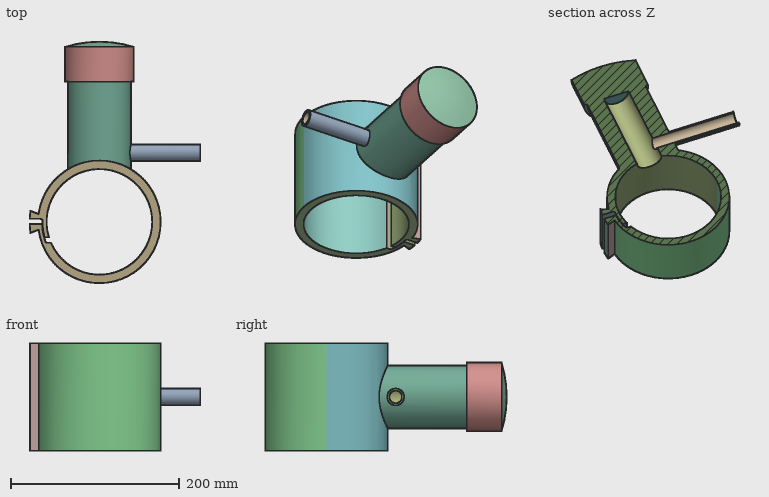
import cadquery as cq
import math

ring_radius = 73.0
ring_bore_radius = 62.5
ring_height = 128.0

lug_tip_radius = 83.0
lug_clearance = 3.0
lug_tip_half_width = 13.2
lug_root_half_width = 9.5
slot_top = 3.5
slot_bottom = -2.3
tongue_radius = 67.8
joint_clearance = 0.3
recess_radius = tongue_radius + joint_clearance
tongue_end = -18.5
recess_end = -24.7
corner_fillet = 2.0
bore_overlap = 3.0

tube_radius = 37.5
tube_bore_radius = 15.5
cap_radius = 41.0
cap_start = 166.5
cap_shoulder = 208.0
cap_tip = 214.2
tube_bore_end = cap_start

pipe_radius = 10.0
pipe_bore_radius = 7.5
pipe_y = 82.0
pipe_end = 120.0


def left_point(radius, y):
    """Point on the -X half of a circle about the origin, at height y."""
    return (-math.sqrt(radius**2 - y**2), y)


def ring_base():
    """Workplane on the lower face of the ring."""
    return cq.Workplane("XY", origin=(0, 0, -ring_height / 2))


def disc(radius):
    """Full-height cylinder on the ring axis."""
    return ring_base().circle(radius).extrude(ring_height)


def band(inner_radius, outer_radius, low_y, high_y):
    """Full-height slice of an annulus on the -X side, cut off at two Y levels."""
    outline = (
        ring_base()
        .moveTo(*left_point(inner_radius, low_y))
        .lineTo(*left_point(outer_radius, low_y))
        .threePointArc(
            left_point(outer_radius, (low_y + high_y) / 2),
            left_point(outer_radius, high_y),
        )
        .lineTo(*left_point(inner_radius, high_y))
        .threePointArc(
            left_point(inner_radius, (low_y + high_y) / 2),
            left_point(inner_radius, low_y),
        )
        .close()
    )
    return outline.extrude(ring_height)


def make_lugs():
    """Both flared clamp lugs as one block, before the slot splits them."""
    root = left_point(ring_radius, lug_root_half_width)
    tip = left_point(lug_tip_radius, lug_tip_half_width)
    inner_x = -(ring_bore_radius + ring_radius) / 2
    return (
        ring_base()
        .moveTo(inner_x, lug_root_half_width)
        .lineTo(*root)
        .lineTo(*tip)
        .threePointArc((-lug_tip_radius, 0), (tip[0], -tip[1]))
        .lineTo(root[0], -root[1])
        .lineTo(inner_x, -lug_root_half_width)
        .close()
        .extrude(ring_height)
    )


def make_opening():
    """Stepped gap: slot between the lugs, joint clearance and recess below the tongue."""
    slot = band(tongue_radius, lug_tip_radius + lug_clearance, slot_bottom, slot_top)
    slot = fillet_corner(slot, left_point(tongue_radius, slot_top))
    recess = band(ring_bore_radius - bore_overlap, recess_radius, recess_end, slot_bottom)
    recess = fillet_corner(recess, left_point(recess_radius, recess_end))
    tongue = band(ring_bore_radius - bore_overlap, tongue_radius, tongue_end, slot_bottom)
    return slot.union(recess.cut(tongue))


def make_branch():
    """Tube with a domed cap, revolved about the Y axis."""
    dome_height = cap_tip - cap_shoulder
    dome_radius = (cap_radius**2 + dome_height**2) / (2 * dome_height)
    half_radius = cap_radius / 2
    dome_mid_y = cap_tip - dome_radius + math.sqrt(dome_radius**2 - half_radius**2)
    return (
        cq.Workplane("XY")
        .lineTo(tube_radius, 0)
        .lineTo(tube_radius, cap_start)
        .lineTo(cap_radius, cap_start)
        .lineTo(cap_radius, cap_shoulder)
        .threePointArc((half_radius, dome_mid_y), (0, cap_tip))
        .close()
        .revolve(360, (0, 0, 0), (0, 1, 0))
    )


def pipe_cylinder(radius):
    """Cylinder on the side pipe axis, from the branch axis to the pipe end."""
    return cq.Workplane("YZ").center(pipe_y, 0).circle(radius).extrude(pipe_end)


def fillet_corner(body, corner):
    """Round the vertical edge of a body that passes through an XY point."""
    nearest = cq.selectors.NearestToPointSelector((*corner, 0))
    return body.edges(nearest).fillet(corner_fillet)


def make_branch_bore():
    """Blind bore from the ring interior along the branch axis."""
    return cq.Workplane("XZ").circle(tube_bore_radius).extrude(-tube_bore_end)


result = disc(ring_radius).union(make_branch()).union(pipe_cylinder(pipe_radius)).union(make_lugs())
result = result.cut(disc(ring_bore_radius)).cut(make_opening())
result = result.cut(make_branch_bore()).cut(pipe_cylinder(pipe_bore_radius))